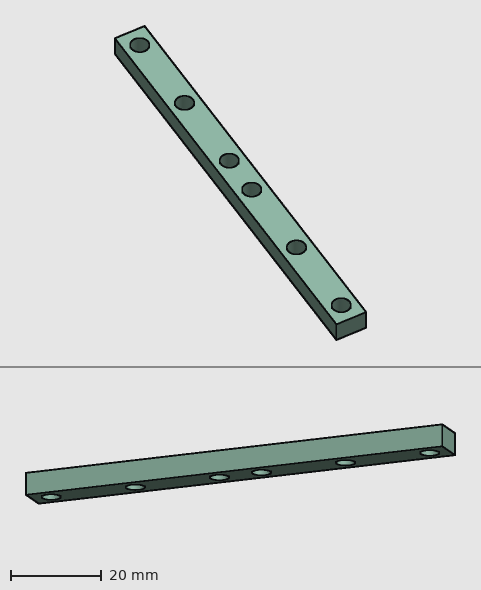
import cadquery as cq

length = 99.0
width = 7.5
height = 5.0

hole_diameter = 4.3
hole_pitch = 20.0
inner_hole_x = hole_pitch / 4
holes_per_half = 3

half_positions = [inner_hole_x + i * hole_pitch for i in range(holes_per_half)]
hole_centers = [(side * x, 0) for side in (-1, 1) for x in half_positions]

bar = cq.Workplane("XY").box(length, width, height)
result = bar.faces(">Z").workplane().pushPoints(hole_centers).hole(hole_diameter)